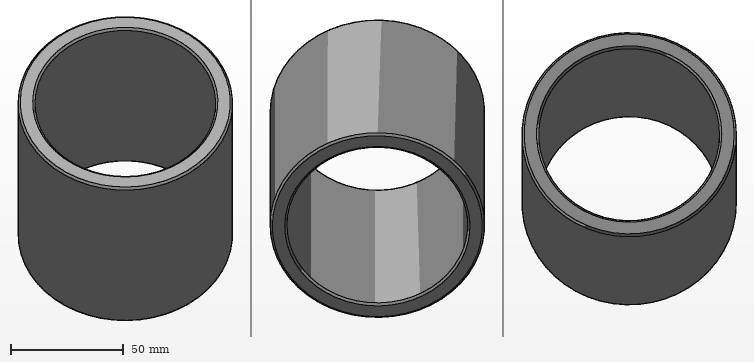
import cadquery as cq

outer_diameter = 95.0
bore_diameter = 80.0
length = 100.0
edge_chamfer = 1.0

sleeve = (
    cq.Workplane("XY")
    .circle(outer_diameter / 2)
    .circle(bore_diameter / 2)
    .extrude(length)
)

result = sleeve.faces("|Z").edges().chamfer(edge_chamfer)